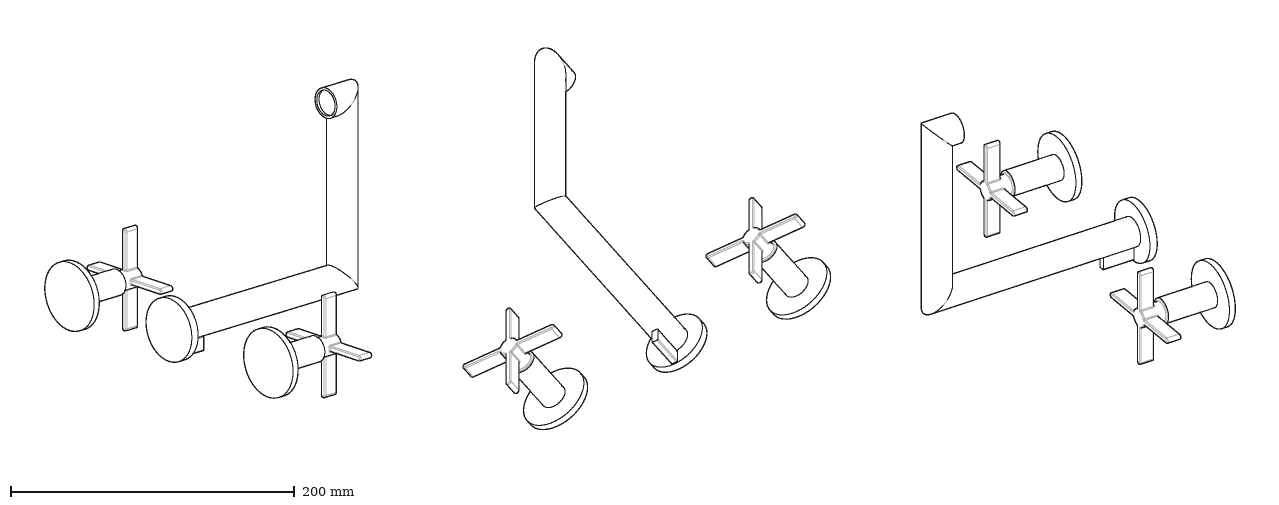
import cadquery as cq


overall_width = 279.5
overall_height = 182.5

handle_flange_dia = 50.5
handle_flange_thick = 5.0
stem_dia = 19.3
stem_end_y = 45.8
hub_dia = 14.5
handle_end_y = 64.8
arm_span = 76.3
handle_spacing = overall_width - arm_span
arm_depth = 11.7
arm_thick = 4.2
arm_edge_fillet = 0.8
joint_fillet = 0.8

tube_dia = 22.4
tube_radius = tube_dia / 2
spout_reach = 180.0
spout_rise = overall_height - arm_span / 2 - tube_radius
outlet_y = 152.8
outlet_recess_dia = 18.7
outlet_recess_depth = 2.2
spout_flange_dia = 47.0
spout_flange_thick = 6.1

bar_width = 5.0
bar_height = 11.2
bar_end_y = 31.5
bar_edge_fillet = 0.8


def rod(dia, start_y, end_y):
    """Cylinder on the Y axis from start_y to end_y."""
    return cq.Workplane("XZ", origin=(0, start_y, 0)).circle(dia / 2).extrude(start_y - end_y)


def make_spout():
    """Flange and mitred round tube: out from the wall, up, then back to the recessed outlet."""
    upright_y = spout_reach - tube_radius
    path = (
        cq.Workplane("YZ")
        .lineTo(upright_y, 0)
        .lineTo(upright_y, spout_rise)
        .lineTo(outlet_y, spout_rise)
    )
    tube = cq.Workplane("XZ").circle(tube_radius).sweep(path, transition="right")
    flange = rod(spout_flange_dia, 0, spout_flange_thick)
    recess = rod(outlet_recess_dia, outlet_y, outlet_y + outlet_recess_depth)
    return tube.union(flange).cut(recess.translate((0, 0, spout_rise)))


def make_bar():
    """Bar with rounded long edges, from the back of the spout flange along the tube's underside."""
    length = bar_end_y - spout_flange_thick
    bar = cq.Workplane("XY").box(bar_width, length, bar_height, centered=(True, False, False))
    bar = bar.edges("|Y").fillet(bar_edge_fillet)
    return bar.translate((0, spout_flange_thick, -tube_radius - bar_height))


def make_arm_pair():
    """Two opposite arms along X: one round-ended strip, rounded along its wall-side outline."""
    strip = cq.Workplane("XZ").slot2D(arm_span, arm_thick).extrude(-arm_depth)
    strip = strip.faces("<Y").edges().fillet(arm_edge_fillet)
    return strip.translate((0, handle_end_y - arm_depth, 0))


def make_cross():
    """Hub with four arms, smoothed where they meet and along the free end."""
    arm_pair = make_arm_pair()
    upright_pair = arm_pair.rotate((0, 0, 0), (0, 1, 0), 90)
    hub = rod(hub_dia, stem_end_y, handle_end_y).rotate((0, 0, 0), (0, 1, 0), 45)
    cross = hub.union(arm_pair).union(upright_pair)

    hub_radius = hub_dia / 2
    joints = cq.selectors.BoxSelector(
        (-hub_radius, stem_end_y + joint_fillet, -hub_radius),
        (hub_radius, handle_end_y - joint_fillet / 2, hub_radius),
    )
    cross = cross.edges(joints).fillet(joint_fillet)
    return cross.faces(">Y").edges().fillet(arm_edge_fillet)


def make_handle():
    """Flange and stem on the handle axis, with the four-armed cross on the stem's end."""
    flange = rod(handle_flange_dia, 0, handle_flange_thick)
    stem = rod(stem_dia, 0, stem_end_y)
    handle = flange.union(stem).union(make_cross())

    stem_end = handle.faces("|Y").faces(cq.selectors.NearestToPointSelector((0, stem_end_y, 0)))
    hub_foot = stem_end.edges(cq.selectors.RadiusNthSelector(0))
    return hub_foot.fillet(joint_fillet)


spout = make_spout()
bar = make_bar()
handles = [make_handle().translate((side * handle_spacing / 2, 0, 0)) for side in (-1, 1)]

result = cq.Compound.makeCompound([spout.val(), bar.val(), *[handle.val() for handle in handles]])